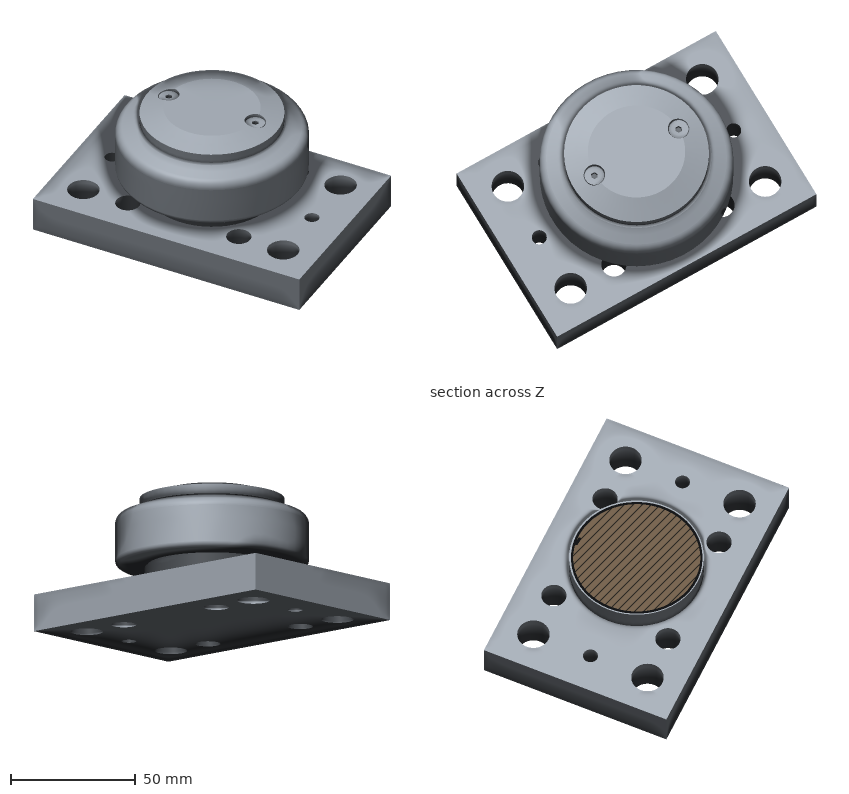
import cadquery as cq
import math

plate_length = 120.0
plate_width = 80.0
plate_thickness = 15.0

mounting_hole_diameter = 13.0
mounting_hole_x = 45.0
dowel_hole_diameter = 6.0
inner_hole_diameter = 10.11
inner_hole_x = 25.0
hole_row_y = 25.0

stud_diameter = 54.0
neck_diameter = 52.0
stud_top_z = 23.5

roller_diameter = 77.7
roller_width = 23.0
roller_bottom_z = 24.5
roller_top_z = roller_bottom_z + roller_width
roller_top_radius = 30.0
shoulder_angle = 20.0
shoulder_fillet = 4.0
lower_fillet = 2.0
crown_radius = 700.0

cap_diameter = 58.0
cap_flat_diameter = 39.0
cap_bottom_z = 48.0
cap_top_z = 54.5
cap_angle = 15.0

recess_x = cap_flat_diameter / 2
recess_diameter = 8.6
screw_head_diameter = 7.8
screw_head_top_z = cap_top_z - 1.2
recess_bottom_z = screw_head_top_z - 0.8
socket_across_flats = 2.5
socket_depth = 1.5


def cylinder(diameter, bottom_z, top_z):
    """Solid cylinder on the Z axis between two heights."""
    return cq.Workplane("XY").workplane(offset=bottom_z).circle(diameter / 2).extrude(top_z - bottom_z)


def make_plate():
    plate = cq.Workplane("XY").box(plate_length, plate_width, plate_thickness, centered=(True, True, False))
    outer_points = [(sx * mounting_hole_x, sy * hole_row_y) for sx in (-1, 1) for sy in (-1, 1)]
    inner_points = [(sx * inner_hole_x, sy * hole_row_y) for sx in (-1, 1) for sy in (-1, 1)]
    dowel_points = [(-mounting_hole_x, 0), (mounting_hole_x, 0)]
    hole_groups = [
        (outer_points, mounting_hole_diameter),
        (inner_points, inner_hole_diameter),
        (dowel_points, dowel_hole_diameter),
    ]
    for points, diameter in hole_groups:
        holes = cq.Workplane("XY").pushPoints(points).circle(diameter / 2).extrude(plate_thickness)
        plate = plate.cut(holes)
    return plate


def crown_fillet(face_point, face_normal, fillet_radius):
    """Arc rounding the corner between a flat or conical roller face and the crowned running face.

    Points are (radius, z) pairs. Returns the arc's face end, middle and crown end.
    """
    normal_r, normal_z = face_normal
    outward_r = abs(normal_z)
    outward_z = -math.copysign(normal_r, normal_z)
    crown_center_r = roller_diameter / 2 - crown_radius
    crown_center_z = (roller_bottom_z + roller_top_z) / 2

    from_face_r = face_point[0] - crown_center_r
    from_face_z = face_point[1] - crown_center_z
    rise = from_face_r * normal_r + from_face_z * normal_z - fillet_radius
    reach = math.sqrt((crown_radius - fillet_radius) ** 2 - rise**2)
    offset_r = rise * normal_r + reach * outward_r
    offset_z = rise * normal_z + reach * outward_z
    center_r = crown_center_r + offset_r
    center_z = crown_center_z + offset_z

    def arc_point(direction_r, direction_z):
        step = fillet_radius / math.hypot(direction_r, direction_z)
        return (center_r + step * direction_r, center_z + step * direction_z)

    crown_r = offset_r / (crown_radius - fillet_radius)
    crown_z = offset_z / (crown_radius - fillet_radius)
    face_end = arc_point(normal_r, normal_z)
    middle = arc_point(normal_r + crown_r, normal_z + crown_z)
    crown_end = arc_point(crown_r, crown_z)
    return face_end, middle, crown_end


def make_roller():
    tilt = math.radians(shoulder_angle)
    shoulder_normal = (math.sin(tilt), math.cos(tilt))
    shoulder_arc = crown_fillet((roller_top_radius, roller_top_z), shoulder_normal, shoulder_fillet)
    lower_arc = crown_fillet((0, roller_bottom_z), (0, -1), lower_fillet)
    crown_middle = (roller_diameter / 2, (roller_bottom_z + roller_top_z) / 2)
    profile = (
        cq.Workplane("XZ")
        .moveTo(0, roller_bottom_z)
        .lineTo(*lower_arc[0])
        .threePointArc(lower_arc[1], lower_arc[2])
        .threePointArc(crown_middle, shoulder_arc[2])
        .threePointArc(shoulder_arc[1], shoulder_arc[0])
        .lineTo(roller_top_radius, roller_top_z)
        .lineTo(0, roller_top_z)
        .close()
    )
    return profile.revolve(360, (0, 0, 0), (0, 1, 0))


def make_cap():
    cap_radius = cap_diameter / 2
    flat_radius = cap_flat_diameter / 2
    rim_z = cap_top_z - (cap_radius - flat_radius) * math.tan(math.radians(cap_angle))
    profile = (
        cq.Workplane("XZ")
        .moveTo(0, cap_bottom_z)
        .lineTo(cap_radius, cap_bottom_z)
        .lineTo(cap_radius, rim_z)
        .lineTo(flat_radius, cap_top_z)
        .lineTo(0, cap_top_z)
        .close()
    )
    return profile.revolve(360, (0, 0, 0), (0, 1, 0))


def make_recess(x):
    """Cutting body of one recess: a bore with a 45 degree seat, less the screw head, plus its socket."""
    seat_height = (recess_diameter - screw_head_diameter) / 2
    bore = (
        cq.Workplane("XY", origin=(x, 0, recess_bottom_z))
        .circle(recess_diameter / 2)
        .extrude(cap_top_z - recess_bottom_z)
        .faces("<Z")
        .chamfer(seat_height)
    )
    screw_head = (
        cq.Workplane("XY", origin=(x, 0, recess_bottom_z))
        .circle(screw_head_diameter / 2)
        .extrude(screw_head_top_z - recess_bottom_z)
    )
    across_corners = socket_across_flats / math.cos(math.pi / 6)
    socket = (
        cq.Workplane("XY", origin=(x, 0, screw_head_top_z))
        .polygon(6, across_corners)
        .extrude(-socket_depth)
    )
    return bore.cut(screw_head).union(socket)


stud = cylinder(stud_diameter, plate_thickness, stud_top_z)
neck = cylinder(neck_diameter, stud_top_z, cap_bottom_z)
result = make_plate().union(stud).union(neck).union(make_roller()).union(make_cap())
for side in (-1, 1):
    result = result.cut(make_recess(side * recess_x))